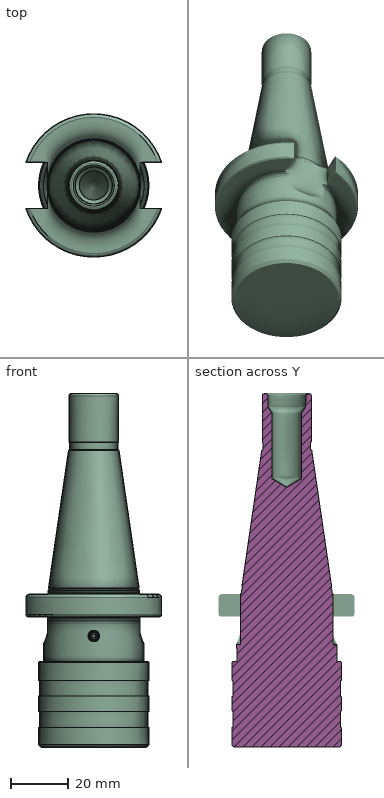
import cadquery as cq
import math

height = 123.4

nut_radius = 19.3
nut_recess_radius = 18.9
nut_top = 30.0
nut_bottom_chamfer = 1.0
nut_top_chamfer = 0.4
nut_recesses = [(7.0, 12.6), (17.9, 23.3)]

body_radius = 17.5
relief_radius = 17.3
relief_bottom = 43.4
relief_top = 45.2
relief_slope_height = 0.7

flange_diameter = 50.0
flange_radius = flange_diameter / 2
flange_bottom = 45.5
flange_top = 53.4
flange_top_fillet = 1.2
flange_bottom_fillet = 0.9

slot_width = 16.0
slot_floor = 16.2
slot_bottom = 36.0

collar_radius = 15.9
collar_top = 55.2
collar_groove_radius = 15.5
collar_foot = 0.4

taper_ratio = 7 / 24
taper_radius = 15.8
taper_bottom = 55.7
taper_top = 103.5
taper_top_radius = taper_radius - taper_ratio * (taper_top - taper_bottom) / 2

neck_radius = 8.4
neck_bottom = 103.9
neck_top = 106.2
pilot_radius = 8.6
pilot_top_fillet = 0.9

entry_radius = 7.2
counterbore_radius = 6.5
counterbore_depth = 2.8
shoulder_radius = 6.4
cone_start_depth = 4.8
bore_radius = 5.0
cone_end_depth = 6.7
bore_depth = 29.6
drill_point_angle = 118

port_height = 38.9
port_steps = [(2.0, 0.4), (1.6, 0.7), (1.2, 1.1), (0.7, 1.5)]

cut_overrun = 1.2


def revolve_profile(points):
    """Revolve a closed (radius, height) outline about the Z axis."""
    return cq.Workplane("XZ").polyline(points).close().revolve(360, (0, 0), (0, 1))


def make_nut():
    nut = cq.Workplane("XY").circle(nut_radius).extrude(nut_top)
    nut = nut.faces("<Z").chamfer(nut_bottom_chamfer)
    nut = nut.faces(">Z").chamfer(nut_top_chamfer)
    for bottom, top in nut_recesses:
        ring = cq.Workplane("XY").workplane(offset=bottom)
        ring = ring.circle(nut_radius + cut_overrun).circle(nut_recess_radius).extrude(top - bottom)
        nut = nut.cut(ring)
    return nut


def make_body():
    return revolve_profile([
        (0, 0),
        (body_radius, 0),
        (body_radius, relief_bottom),
        (relief_radius, relief_bottom + relief_slope_height),
        (relief_radius, relief_top),
        (body_radius, relief_top),
        (body_radius, flange_bottom),
        (0, flange_bottom),
    ])


def make_flange():
    flange = cq.Workplane("XY").workplane(offset=flange_bottom)
    flange = flange.circle(flange_radius).extrude(flange_top - flange_bottom)
    flange = flange.faces(">Z").edges().fillet(flange_top_fillet)
    return flange.faces("<Z").edges().fillet(flange_bottom_fillet)


def make_shank():
    collar_top_chamfer = collar_radius - collar_groove_radius
    pilot_foot_chamfer = pilot_radius - neck_radius
    shank = revolve_profile([
        (0, flange_bottom),
        (collar_radius + collar_foot, flange_bottom),
        (collar_radius + collar_foot, flange_top),
        (collar_radius, flange_top + collar_foot),
        (collar_radius, collar_top - collar_top_chamfer),
        (collar_groove_radius, collar_top),
        (collar_groove_radius, taper_bottom),
        (taper_radius, taper_bottom),
        (taper_top_radius, taper_top),
        (neck_radius, neck_bottom),
        (neck_radius, neck_top),
        (pilot_radius, neck_top + pilot_foot_chamfer),
        (pilot_radius, height),
        (0, height),
    ])
    return shank.faces(">Z").edges().fillet(pilot_top_fillet)


def make_drawbar_hole():
    entry_depth = entry_radius - counterbore_radius
    tip_length = bore_radius / math.tan(math.radians(drill_point_angle / 2))
    return revolve_profile([
        (0, height),
        (entry_radius, height),
        (counterbore_radius, height - entry_depth),
        (counterbore_radius, height - counterbore_depth),
        (shoulder_radius, height - counterbore_depth),
        (shoulder_radius, height - cone_start_depth),
        (bore_radius, height - cone_end_depth),
        (bore_radius, height - bore_depth),
        (0, height - bore_depth - tip_length),
    ])


def make_slot(side):
    """Slot cutter on the +X side (side = 1) or the -X side (side = -1)."""
    end_radius = slot_width / 2
    end_center = slot_bottom + end_radius
    slot = (
        cq.Workplane("YZ")
        .moveTo(-end_radius, flange_top)
        .lineTo(-end_radius, end_center)
        .threePointArc((0, slot_bottom), (end_radius, end_center))
        .lineTo(end_radius, flange_top)
        .close()
        .extrude(side * flange_radius)
    )
    return slot.translate((side * slot_floor, 0, 0))


def make_port():
    port = None
    for radius, depth in port_steps:
        step = cq.Workplane("XZ", origin=(0, depth - body_radius, port_height))
        step = step.circle(radius).extrude(depth + cut_overrun)
        port = step if port is None else port.union(step)
    return port


result = make_nut().union(make_body()).union(make_flange()).union(make_shank())
for side in (-1, 1):
    result = result.cut(make_slot(side))
result = result.cut(make_drawbar_hole()).cut(make_port())